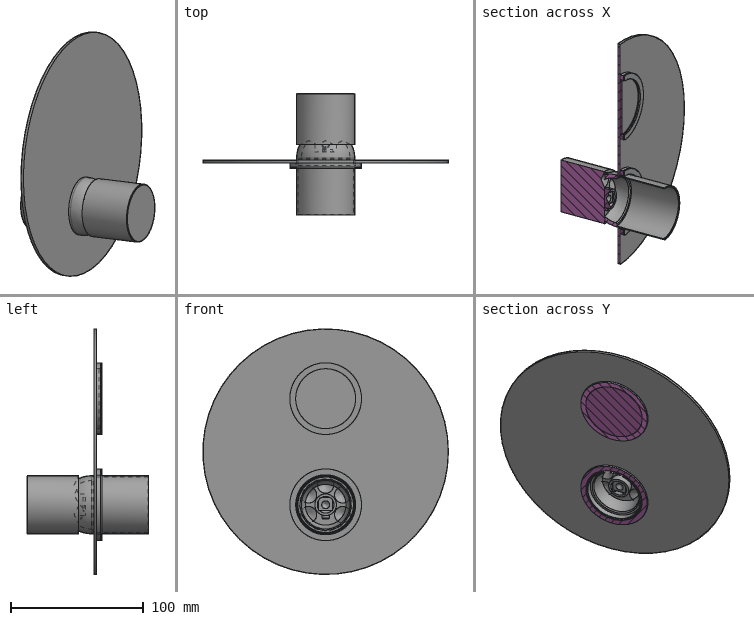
import cadquery as cq
import math

PLATE_RADIUS = 92.5
PLATE_THICKNESS = 2.2
CONTROL_OFFSET = 40.0

RING_OUTER_RADIUS = 27.0
RING_INNER_RADIUS = 22.5
BASE_RING_THICKNESS = 2.8
COVER_RING_THICKNESS = 1.1

CAP_THICKNESS = 1.8

SLEEVE_RADIUS = 22.0
SLEEVE_FRONT = -39.0
SLEEVE_BORE_RADIUS = 20.9
MOUTH_CHAMFER = 0.5
DOME_CENTRE = 3.9
DOME_INNER_RADIUS = 18.3
SEAT_CHAMFER = 1.0

VALVE_FRONT = 13.9
VALVE_BACK = 52.5
VALVE_RADIUS = SLEEVE_RADIUS
VALVE_BACK_CHAMFER = 0.5
DIMPLE_RADIUS = 6.1
DIMPLE_DEPTH = 3.1
DIMPLE_CIRCLE_RADIUS = 14.8
DIMPLE_POSITIONS = 6

STEM_RADIUS = 8.1
STEM_LENGTH = 5.5
SOCKET_WIDTH = 10.5
SOCKET_TOP = 5.5
SOCKET_BOTTOM = 4.5
SOCKET_CORNER_RADIUS = 3.0
SOCKET_DEPTH = 1.8
DISH_RADIUS = 6.3
SCREW_HOLE_RADIUS = 3.0
SCREW_HOLE_DEPTH = 2.2

LUG_RADIUS = 2.8
LUG_BOTTOM = 10.5
LUG_CHAMFER = 0.5


def disc(radius, y_front, thickness, z=0.0):
    """Round disc along +Y, starting at y_front and centred at height z."""
    return (
        cq.Workplane("XZ", origin=(0, y_front, z))
        .circle(radius)
        .extrude(-thickness)
    )


def cone(front_radius, back_radius, y_front, depth, x, z):
    """Cone or frustum along +Y, starting at y_front and centred at (x, z)."""
    base_centre = cq.Vector(x, y_front, z)
    return cq.Workplane(cq.Solid.makeCone(front_radius, back_radius, depth, base_centre, cq.Vector(0, 1, 0)))


def make_plate():
    plate = disc(PLATE_RADIUS, 0, PLATE_THICKNESS)
    return plate.cut(disc(SLEEVE_RADIUS, 0, PLATE_THICKNESS, -CONTROL_OFFSET))


def make_ring(y_front, thickness, z):
    ring = disc(RING_OUTER_RADIUS, y_front, thickness, z)
    return ring.cut(disc(RING_INNER_RADIUS, y_front, thickness, z))


def make_cap():
    return disc(RING_INNER_RADIUS, -CAP_THICKNESS, CAP_THICKNESS, CONTROL_OFFSET)


def make_sleeve():
    """Half section in (radius, Y), revolved about the control axis."""
    dome_height = VALVE_FRONT - DOME_CENTRE
    half_height = dome_height / 2

    def sphere_point(radius, height):
        return (math.sqrt(radius**2 - height**2), DOME_CENTRE + height)

    section = (
        cq.Workplane("XY")
        .moveTo(SLEEVE_RADIUS, SLEEVE_FRONT)
        .lineTo(SLEEVE_RADIUS, DOME_CENTRE)
        .threePointArc(sphere_point(SLEEVE_RADIUS, half_height), sphere_point(SLEEVE_RADIUS, dome_height))
        .lineTo(*sphere_point(DOME_INNER_RADIUS, dome_height))
        .threePointArc(sphere_point(DOME_INNER_RADIUS, half_height), (DOME_INNER_RADIUS, DOME_CENTRE))
        .lineTo(DOME_INNER_RADIUS + SEAT_CHAMFER, DOME_CENTRE - SEAT_CHAMFER)
        .lineTo(SLEEVE_BORE_RADIUS, DOME_CENTRE - SEAT_CHAMFER)
        .lineTo(SLEEVE_BORE_RADIUS, SLEEVE_FRONT + MOUTH_CHAMFER)
        .lineTo(SLEEVE_BORE_RADIUS + MOUTH_CHAMFER, SLEEVE_FRONT)
        .close()
    )
    return section.revolve(360, (0, 0, 0), (0, 1, 0)).translate((0, 0, -CONTROL_OFFSET))


def make_stop_lug():
    """Round bar along Z, half of which stands proud of the valve body."""
    lug = (
        cq.Workplane("XY", origin=(0, VALVE_FRONT, -CONTROL_OFFSET - LUG_BOTTOM))
        .circle(LUG_RADIUS)
        .extrude(LUG_BOTTOM - STEM_RADIUS)
    )
    return lug.faces("<Z").chamfer(LUG_CHAMFER)


def make_valve_body():
    body = disc(VALVE_RADIUS, VALVE_FRONT, VALVE_BACK - VALVE_FRONT, -CONTROL_OFFSET)
    body = body.faces(">Y").chamfer(VALVE_BACK_CHAMFER)
    for position in range(1, DIMPLE_POSITIONS):
        angle = 2 * math.pi * position / DIMPLE_POSITIONS - math.pi / 2
        x = DIMPLE_CIRCLE_RADIUS * math.cos(angle)
        z = DIMPLE_CIRCLE_RADIUS * math.sin(angle) - CONTROL_OFFSET
        body = body.cut(cone(DIMPLE_RADIUS, 0, VALVE_FRONT, DIMPLE_DEPTH, x, z))
    return body.union(make_stop_lug())


def make_stem():
    front = VALVE_FRONT - STEM_LENGTH
    stem = disc(STEM_RADIUS, front, STEM_LENGTH, -CONTROL_OFFSET)
    mouth = (
        cq.Sketch()
        .push([(0, (SOCKET_TOP - SOCKET_BOTTOM) / 2)])
        .rect(SOCKET_WIDTH, SOCKET_TOP + SOCKET_BOTTOM)
        .reset()
        .vertices(">Y")
        .fillet(SOCKET_CORNER_RADIUS)
    )
    socket = (
        cq.Workplane("XZ", origin=(0, front, -CONTROL_OFFSET))
        .placeSketch(mouth)
        .extrude(-SOCKET_DEPTH)
    )
    dish = cone(DISH_RADIUS, SOCKET_BOTTOM, front, SOCKET_DEPTH, 0, -CONTROL_OFFSET)
    screw_hole = cone(SCREW_HOLE_RADIUS, 0, front + SOCKET_DEPTH, SCREW_HOLE_DEPTH, 0, -CONTROL_OFFSET)
    return stem.cut(socket).cut(dish).cut(screw_hole)


plate = make_plate()
base_rings = []
cover_rings = []
for ring_z in (CONTROL_OFFSET, -CONTROL_OFFSET):
    base_rings.append(make_ring(-BASE_RING_THICKNESS, BASE_RING_THICKNESS, ring_z))
    cover_front = -BASE_RING_THICKNESS - COVER_RING_THICKNESS
    cover_rings.append(make_ring(cover_front, COVER_RING_THICKNESS, ring_z))
cap = make_cap()
sleeve = make_sleeve()
valve_body = make_valve_body()
stem = make_stem()

result = cq.Compound.makeCompound(
    [
        plate.val(),
        *[ring.val() for ring in base_rings],
        *[ring.val() for ring in cover_rings],
        cap.val(),
        sleeve.val(),
        valve_body.val(),
        stem.val(),
    ]
)